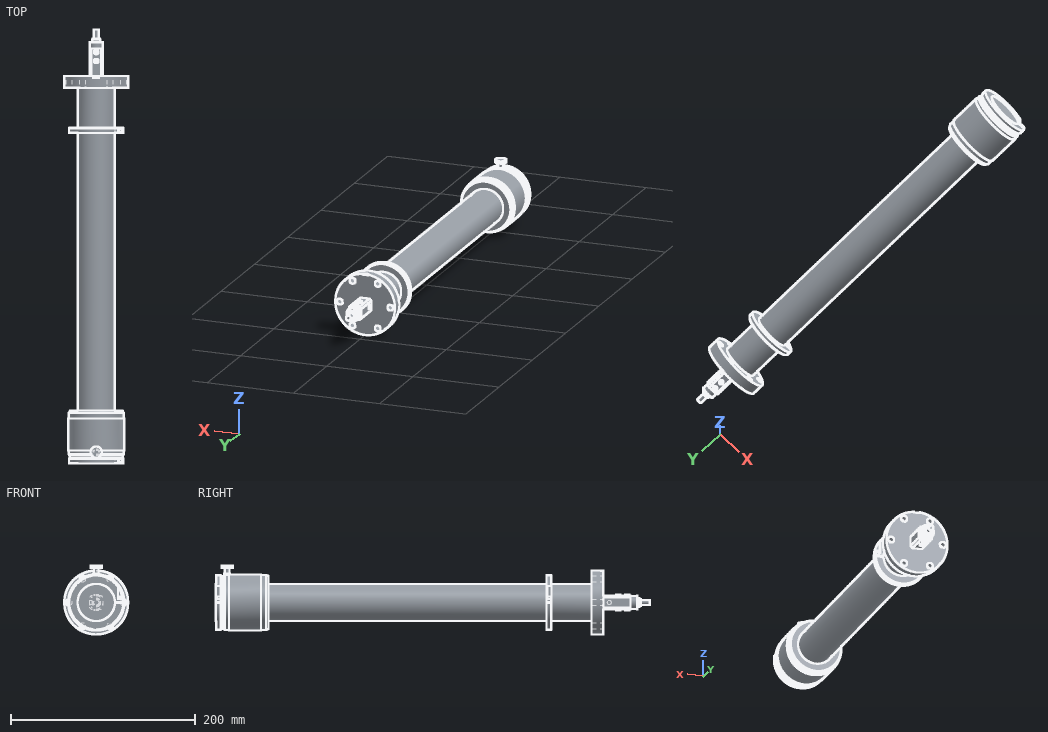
import cadquery as cq

OVERALL_LENGTH = 470.21

TUBE_DIAMETER = 40.4

FLANGE_DIAMETER = 69.5
FLANGE_THICKNESS = 13.0
FLANGE_FRONT = 407.0
FLANGE_BACK = FLANGE_FRONT + FLANGE_THICKNESS
BOLT_COUNT = 6
BOLT_CIRCLE_DIAMETER = 58.7
BOLT_HOLE_DIAMETER = 6.6
NOTCH_WIDTH = 6.5
NOTCH_LENGTH = 2.5
NOTCH_DEPTH = 0.9

CLAMP_DIAMETER = 59.4
CLAMP_WIDTH = 5.7
CLAMP_CHAMFER = 0.8
FRONT_CLAMP_START = 0.4
REAR_CLAMP_START = 358.2
CLAMP_SLIT = 1.5
CLAMP_NOTCH_X = 23.6
CLAMP_NOTCH_FLOOR = 4.0
CLAMP_NOTCH_WALL = 1.0
CLAMP_SCREW_DIAMETER = 4.0
CLAMP_SCREW_HEIGHT = 2.3
CLAMP_SCREW_CLEARANCE = 0.7

HEAD_FRONT = 8.6
HEAD_BACK = 57.3
HEAD_END_DIAMETER = 59.8
HEAD_CHAMFER_LENGTH = 2.6
HEAD_CHAMFER_DEPTH = 1.4
SLEEVE_DIAMETER = 61.0
SLEEVE_FRONT = 14.5
SLEEVE_BACK = 49.0
COLLET_DIAMETER = 57.8
BEVEL_BACK = 10.3

KNOB_Y = 12.5
KNOB_TOP = 40.0
KNOB_DIAMETER = 12.2
KNOB_THICKNESS = 2.8
KNOB_STEM_DIAMETER = 5.4
KNOB_BASE_DIAMETER = 6.6
KNOB_BASE_TOP = 31.2

BODY_SIZE = 15.0
BODY_CORNER_CHAMFER = 2.3
BODY_BACK = 449.5
COLLAR_DIAMETER = 14.4
COLLAR_BACK = 456.8
COLLAR_RIM_LENGTH = 0.7
COLLAR_RIM_DIAMETER = 15.0
LARGE_STEP_DIAMETER = 9.6
LARGE_STEP_BACK = 459.2
SMALL_STEP_DIAMETER = 8.0
SMALL_STEP_BACK = 460.5
ROD_DIAMETER = 5.8

BODY_SCREW_POSITIONS = (436.0, 445.7)
BODY_SCREW_DIAMETER = 4.8
BODY_SCREW_HEIGHT = 1.2
SOCKET_DIAMETER = 2.2
FLANK_HOLE_Y = 426.3
FLANK_HOLE_DIAMETER = 4.5
FLANK_HOLE_DEPTH = 3.0


def cylinder(diameter, start, end):
    """Cylinder on the part's axis between two Y positions."""
    return cq.Workplane("XZ", origin=(0, start, 0)).circle(diameter / 2).extrude(start - end)


def cone(start_diameter, end_diameter, start, end):
    """Truncated cone on the part's axis between two Y positions."""
    profile = [(0, start), (start_diameter / 2, start), (end_diameter / 2, end), (0, end)]
    return cq.Workplane("XY").polyline(profile).close().revolve(360, (0, 0, 0), (0, 1, 0))


def upright(diameter, x, y, bottom, top):
    """Vertical cylinder between two Z positions."""
    return cq.Workplane("XY", origin=(x, y, bottom)).circle(diameter / 2).extrude(top - bottom)


def block(x_range, y_range, z_range):
    """Axis-aligned box spanning the given ranges."""
    size = [high - low for low, high in (x_range, y_range, z_range)]
    corner = cq.Vector(x_range[0], y_range[0], z_range[0])
    return cq.Workplane("XY").box(*size, centered=False).translate(corner)


def make_flange():
    flange = cylinder(FLANGE_DIAMETER, FLANGE_FRONT, FLANGE_BACK)
    holes = (
        cq.Workplane("XZ", origin=(0, FLANGE_FRONT, 0))
        .polarArray(BOLT_CIRCLE_DIAMETER / 2, 0, 360, BOLT_COUNT)
        .circle(BOLT_HOLE_DIAMETER / 2)
        .extrude(-FLANGE_THICKNESS)
    )
    radius = FLANGE_DIAMETER / 2
    rim_notch = block(
        (-NOTCH_WIDTH / 2, NOTCH_WIDTH / 2),
        (FLANGE_BACK - NOTCH_LENGTH, FLANGE_BACK),
        (radius - NOTCH_DEPTH, radius),
    )
    return flange.cut(holes).cut(rim_notch)


def make_clamp(front, notch_opens_forward):
    """Slit ring with a screw notch that is closed by a thin wall on one face."""
    back = front + CLAMP_WIDTH
    middle = (front + back) / 2
    radius = CLAMP_DIAMETER / 2
    ring = cylinder(CLAMP_DIAMETER, front, back).faces(">Y").edges().chamfer(CLAMP_CHAMFER)
    slit = block((TUBE_DIAMETER / 2, radius), (front, back), (-CLAMP_SLIT / 2, CLAMP_SLIT / 2))
    if notch_opens_forward:
        notch_span = (front, back - CLAMP_NOTCH_WALL)
    else:
        notch_span = (front + CLAMP_NOTCH_WALL, back)
    screw_notch = block((CLAMP_NOTCH_X, radius), notch_span, (CLAMP_NOTCH_FLOOR, radius))
    screw_x = CLAMP_NOTCH_X + CLAMP_SCREW_DIAMETER / 2 + CLAMP_SCREW_CLEARANCE
    screw_top = CLAMP_NOTCH_FLOOR + CLAMP_SCREW_HEIGHT
    screw = upright(CLAMP_SCREW_DIAMETER, screw_x, middle, CLAMP_NOTCH_FLOOR, screw_top)
    return ring.cut(slit).cut(screw_notch).union(screw)


def make_head():
    chamfer_start = HEAD_BACK - HEAD_CHAMFER_LENGTH
    back_diameter = HEAD_END_DIAMETER - 2 * HEAD_CHAMFER_DEPTH
    collet = cylinder(COLLET_DIAMETER, FRONT_CLAMP_START + CLAMP_WIDTH, HEAD_FRONT)
    bevel = cone(COLLET_DIAMETER, HEAD_END_DIAMETER, HEAD_FRONT, BEVEL_BACK)
    barrel = cylinder(HEAD_END_DIAMETER, BEVEL_BACK, chamfer_start)
    shoulder = cone(HEAD_END_DIAMETER, back_diameter, chamfer_start, HEAD_BACK)
    sleeve = cylinder(SLEEVE_DIAMETER, SLEEVE_FRONT, SLEEVE_BACK)
    return barrel.union(collet).union(bevel).union(shoulder).union(sleeve)


def make_knob():
    seat = TUBE_DIAMETER / 2
    base = upright(KNOB_BASE_DIAMETER, 0, KNOB_Y, seat, KNOB_BASE_TOP)
    stem = upright(KNOB_STEM_DIAMETER, 0, KNOB_Y, KNOB_BASE_TOP, KNOB_TOP)
    cap = upright(KNOB_DIAMETER, 0, KNOB_Y, KNOB_TOP - KNOB_THICKNESS, KNOB_TOP)
    return base.union(stem).union(cap)


def make_drive_body():
    half = BODY_SIZE / 2
    body = block((-half, half), (FLANGE_BACK, BODY_BACK), (-half, half))
    body = body.edges("|Y").chamfer(BODY_CORNER_CHAMFER)
    flank_hole = (
        cq.Workplane("YZ", origin=(-half, FLANK_HOLE_Y, 0))
        .circle(FLANK_HOLE_DIAMETER / 2)
        .extrude(FLANK_HOLE_DEPTH)
    )
    body = body.cut(flank_hole)
    head_top = half + BODY_SCREW_HEIGHT
    for y in BODY_SCREW_POSITIONS:
        for side in (1, -1):
            head = upright(BODY_SCREW_DIAMETER, 0, y, side * half, side * head_top)
            socket = upright(SOCKET_DIAMETER, 0, y, side * half, side * head_top)
            body = body.union(head.cut(socket))
    return body


def make_rod_end():
    collar = cylinder(COLLAR_DIAMETER, BODY_BACK, COLLAR_BACK)
    rim = cylinder(COLLAR_RIM_DIAMETER, COLLAR_BACK - COLLAR_RIM_LENGTH, COLLAR_BACK)
    large_step = cylinder(LARGE_STEP_DIAMETER, COLLAR_BACK, LARGE_STEP_BACK)
    small_step = cylinder(SMALL_STEP_DIAMETER, LARGE_STEP_BACK, SMALL_STEP_BACK)
    rod = cylinder(ROD_DIAMETER, SMALL_STEP_BACK, OVERALL_LENGTH)
    return collar.union(rim).union(large_step).union(small_step).union(rod)


result = cylinder(TUBE_DIAMETER, 0, FLANGE_FRONT)
result = result.union(make_flange())
result = result.union(make_clamp(FRONT_CLAMP_START, True))
result = result.union(make_clamp(REAR_CLAMP_START, False))
result = result.union(make_head()).union(make_knob())
result = result.union(make_drive_body()).union(make_rod_end())